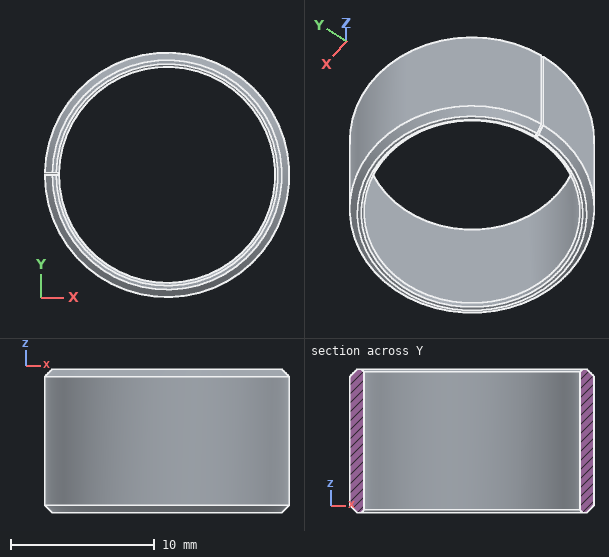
import cadquery as cq

outer_diameter = 17.0
bore_diameter = 15.0
height = 10.0
outer_chamfer_width = 0.53
outer_chamfer_height = 0.53
bore_chamfer_width = 0.2
bore_chamfer_height = 0.2
slit_angle = 1.0

outer_radius = outer_diameter / 2
bore_radius = bore_diameter / 2


def split_ring():
    """Revolve the wall section, chamfered at all four corners, about Z, leaving the slit open."""
    half_height = height / 2
    section = [
        (-bore_radius, half_height - bore_chamfer_height),
        (-bore_radius - bore_chamfer_width, half_height),
        (-outer_radius + outer_chamfer_width, half_height),
        (-outer_radius, half_height - outer_chamfer_height),
        (-outer_radius, -half_height + outer_chamfer_height),
        (-outer_radius + outer_chamfer_width, -half_height),
        (-bore_radius - bore_chamfer_width, -half_height),
        (-bore_radius, -half_height + bore_chamfer_height),
    ]
    profile = cq.Workplane("XZ").polyline(section).close()
    return profile.revolve(360 - slit_angle, (0, 0), (0, 1))


result = split_ring()